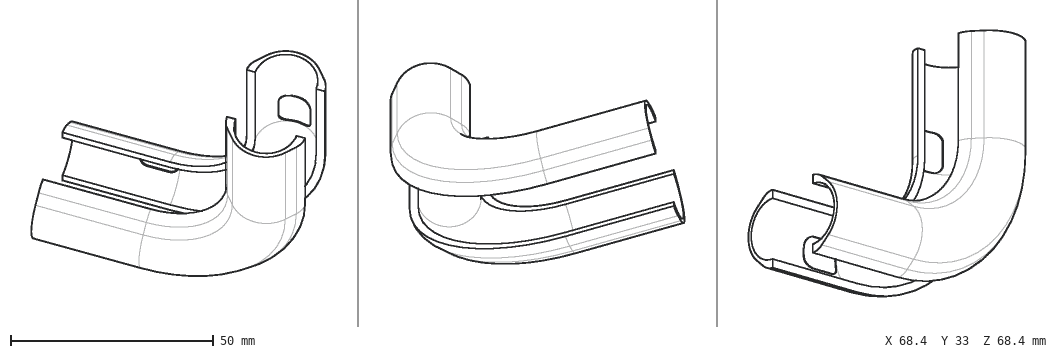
import cadquery as cq
import math

overall_size = 68.4
leg_length = 28.05
half_gap = 7.5

bore_radius = 7.95
back_radius = 9.0
edge_reach = 10.2
flat_angle = 40.0

recess_length = 10.5
recess_width = 8.35
recess_corner = 2.4
recess_depth = 0.3
recess_to_bend = 0.15

bend_radius = overall_size - leg_length - edge_reach
axis_offset = overall_size - edge_reach
normal_along = math.cos(math.radians(flat_angle))
normal_back = math.sin(math.radians(flat_angle))
edge_center = (edge_reach - back_radius) / (1 - normal_along)
edge_radius = edge_reach - edge_center


def elbow_path():
    """Centre line: along +X, a quarter bend, then up along +Z."""
    return (
        cq.Workplane("XZ", origin=(0, half_gap, edge_reach))
        .moveTo(0, 0)
        .lineTo(leg_length, 0)
        .radiusArc((axis_offset, bend_radius), -bend_radius)
        .lineTo(axis_offset, bend_radius + leg_length)
    )


def half_section():
    """Half-tube section at the start of the path, opening towards -Y."""
    back_start = (back_radius * normal_back, back_radius * normal_along)
    edge_end = (edge_radius * normal_back, edge_center + edge_radius * normal_along)
    half_tilt = math.radians(flat_angle / 2)
    edge_mid = (edge_radius * math.sin(half_tilt), edge_center + edge_radius * math.cos(half_tilt))
    return (
        cq.Workplane("YZ", origin=(0, half_gap, edge_reach))
        .moveTo(0, bore_radius)
        .lineTo(0, edge_reach)
        .threePointArc(edge_mid, edge_end)
        .lineTo(*back_start)
        .threePointArc((back_radius, 0), (back_start[0], -back_start[1]))
        .lineTo(edge_end[0], -edge_end[1])
        .threePointArc((edge_mid[0], -edge_mid[1]), (0, -edge_reach))
        .lineTo(0, -bore_radius)
        .threePointArc((bore_radius, 0), (0, bore_radius))
        .close()
    )


def level_recess():
    """Cutter for the level leg: a rounded block whose floor is concentric with the bore."""
    recess_center = leg_length - recess_to_bend - recess_length / 2
    rounded_block = (
        cq.Workplane("XZ", origin=(recess_center, half_gap, edge_reach))
        .rect(recess_length, recess_width)
        .extrude(-back_radius)
        .edges("|Y")
        .fillet(recess_corner)
    )
    floor_cylinder = (
        cq.Workplane("YZ", origin=(0, half_gap, edge_reach))
        .circle(bore_radius + recess_depth)
        .extrude(leg_length)
    )
    return rounded_block.intersect(floor_cylinder)


def upright_recess():
    """The level cutter turned a quarter turn and moved so that it lies in the upright leg."""
    return (
        level_recess()
        .rotate((0, 0, edge_reach), (0, 1, edge_reach), 90)
        .translate((axis_offset, 0, axis_offset))
    )


def half_shell():
    """Plain half of the elbow on the +Y side."""
    return half_section().sweep(elbow_path())


front_shell = half_shell().mirror("XZ")
rear_shell = half_shell().cut(level_recess()).cut(upright_recess())

result = cq.Compound.makeCompound([front_shell.val(), rear_shell.val()])